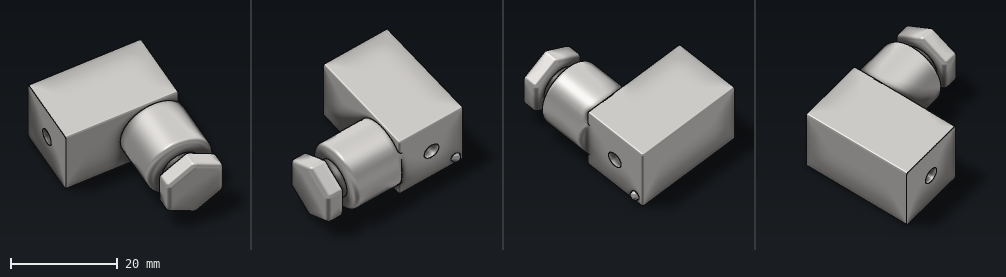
import cadquery as cq
import math

block_side = 15.0
block_length = 24.0
block_round = 0.48
block_center = block_side / 2

screw_hole_diameter = 3.4

overall_depth = 25.5
outlet_diameter = 14.0
outlet_end = 26.0
outlet_round = 1.0
outlet_axis_y = overall_depth - outlet_diameter / 2

shoulder_hollow_radius = 1.0
shoulder_crest_radius = 1.0
hollow_start = block_side - shoulder_hollow_radius

neck_diameter = 8.0
overall_length = 32.0
nut_thickness = 4.0
nut_across_flats = 12.0
nut_round = 1.0
nut_start = overall_length - nut_thickness

bump_radius = 1.0
bump_inset = 2.0


def outlet_plane(x):
    """Plane across the outlet axis, with local X along +Y and local Y along +Z."""
    return cq.Workplane("YZ", origin=(x, outlet_axis_y, block_center))


def make_block():
    block = cq.Workplane("XY").box(block_side, block_length, block_side, centered=False)
    return block.edges("|Y or >Y").fillet(block_round)


def make_outlet():
    """Round outlet whose inner end is hollowed down to the closed face."""
    start = block_center
    outlet = outlet_plane(start).circle(outlet_diameter / 2).extrude(outlet_end - start)
    outlet = outlet.faces(">X").edges().fillet(outlet_round)

    hollow_center_y = block_length + shoulder_hollow_radius
    arc_middle = (
        hollow_start + shoulder_hollow_radius * math.sin(math.pi / 4),
        hollow_center_y - shoulder_hollow_radius * math.cos(math.pi / 4),
    )
    hollow = (
        cq.Workplane("XY")
        .moveTo(0, block_length)
        .lineTo(hollow_start, block_length)
        .threePointArc(arc_middle, (block_side, hollow_center_y))
        .lineTo(block_side, overall_depth + outlet_round)
        .lineTo(0, overall_depth + outlet_round)
        .close()
        .extrude(block_side)
    )
    outlet = outlet.cut(hollow)

    crest_box = cq.selectors.BoxSelector(
        (hollow_start, block_length, 0),
        (block_side + block_round, overall_depth + block_round, block_side),
    )
    crest = outlet.edges(crest_box).edges("not |Z")
    return crest.fillet(shoulder_crest_radius)


def make_neck():
    return outlet_plane(block_side).circle(neck_diameter / 2).extrude(nut_start - block_side)


def make_nut():
    """Hexagon with two flats facing +Y and -Y, rounded on every edge."""
    nut = (
        outlet_plane(nut_start)
        .polygon(6, nut_across_flats, circumscribed=True)
        .extrude(nut_thickness)
    )
    return nut.edges().fillet(nut_round)


def make_bump():
    center = (bump_inset, block_length, bump_inset)
    return cq.Workplane("XY").sphere(bump_radius).translate(center)


def make_screw_hole():
    hole = cq.Workplane("XZ", origin=(block_center, 0, block_center))
    return hole.circle(screw_hole_diameter / 2).extrude(-overall_depth)


result = (
    make_block()
    .union(make_outlet())
    .union(make_neck())
    .union(make_nut())
    .union(make_bump())
    .cut(make_screw_hole())
)